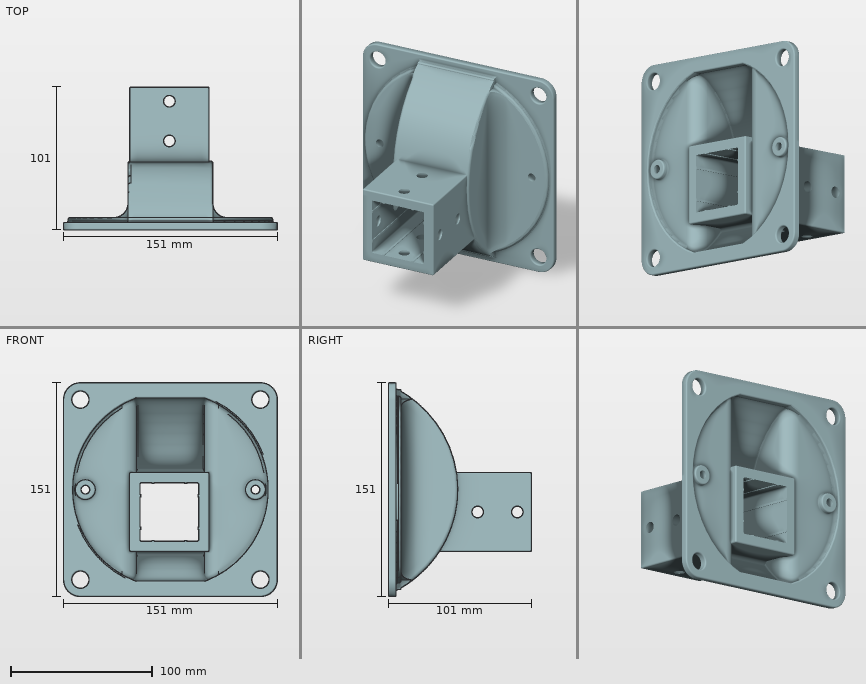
import cadquery as cq
import math

plate_size = 151.0
plate_thickness = 5.5
plate_corner_radius = 12.0
plate_edge_radius = 1.0
mount_hole_diameter = 12.0
mount_hole_offset = 63.5
mount_hole_edge_radius = 1.0

pad_radius = 72.5
pad_half_height = 70.6
pad_back = 9.0
pad_edge_radius = 2.0
pad_root_radius = 1.0
heel_edge_radius = 1.0

recess_radius = 69.0
recess_half_height = 64.6
recess_floor = 4.0
recess_edge_radius = 1.0
recess_floor_radius = 2.0

dome_radius = 80.0
dome_back = 49.0
dome_wall = 5.0
dome_half_width = 30.0
dome_edge_radius = 2.0
dome_axis_y = dome_back - dome_radius
cavity_radius = dome_radius - dome_wall
cavity_half_width = 24.0
cavity_edge_radius = 1.0
flare_radius = 10.0

tube_size = 56.0
tube_length = 101.0
tube_center_x = -0.75
tube_center_z = -15.75
tube_edge_radius = 1.0
roof_root_radius = 2.0
bore_size = 41.2
bore_corner_radius = 1.0
rib_height = 0.5
rib_width = 1.6
rib_offset = 11.5
pin_hole_diameter = 8.0
pin_hole_end_distances = (10.0, 38.0)

boss_offset = 60.0
boss_diameter = 14.0
boss_edge_radius = 1.0
boss_root_radius = 1.0
boss_hole_diameter = 6.0

pick_margin = 0.1
arc_middle = math.sqrt(0.5)


def front_plane(y=0.0):
    """Plane at depth y facing -Y: local axes are X and Z, negative extrusions go toward +Y."""
    return cq.Workplane("XZ", origin=(0, y, 0))


def clipped_disc(radius, half_height, y_start, y_end):
    """Round disc whose top and bottom are cut flat."""
    disc = front_plane(y_start).circle(radius).extrude(y_start - y_end)
    band = front_plane(y_start).rect(2 * radius, 2 * half_height).extrude(y_start - y_end)
    return disc.intersect(band)


def dome_cylinder(radius, half_width):
    """Rear half of a cylinder along X about the dome's axis."""
    return (
        cq.Workplane("YZ", origin=(-half_width, 0, 0))
        .moveTo(dome_axis_y, -radius)
        .threePointArc((dome_axis_y + radius, 0), (dome_axis_y, radius))
        .close()
        .extrude(2 * half_width)
    )


def flared_dome(half_width, foot_y, radius):
    """Slab that flares out at its foot, bounded by a cylinder along X."""
    top_y = dome_back + dome_radius
    foot_half_width = half_width + flare_radius
    bend_x = foot_half_width - flare_radius * arc_middle
    bend_y = foot_y + flare_radius * (1 - arc_middle)
    slab = (
        cq.Workplane("XY", origin=(0, 0, -dome_radius))
        .moveTo(-foot_half_width, 0)
        .lineTo(foot_half_width, 0)
        .lineTo(foot_half_width, foot_y)
        .threePointArc((bend_x, bend_y), (half_width, foot_y + flare_radius))
        .lineTo(half_width, top_y)
        .lineTo(-half_width, top_y)
        .lineTo(-half_width, foot_y + flare_radius)
        .threePointArc((-bend_x, bend_y), (-foot_half_width, foot_y))
        .close()
        .extrude(2 * dome_radius)
    )
    return slab.intersect(dome_cylinder(radius, foot_half_width))


def round_dome_rim(dome, foot_y, edge_radius):
    """Round the edges where the dome's cylinder meets its flared sides."""
    reach = 2 * dome_radius
    rim_box = cq.selectors.BoxSelector((-reach, foot_y, -reach), (reach, dome_back, reach))
    return dome.edges(rim_box).edges("not |Z").fillet(edge_radius)


def make_plate():
    """Plate with its raised pad and the heel that carries the ends of the dome."""
    plate = front_plane().rect(plate_size, plate_size).extrude(-plate_thickness)
    plate = plate.edges("|Y").fillet(plate_corner_radius)
    plate = plate.faces("<Y or >Y").edges().fillet(plate_edge_radius)

    pad_start = plate_thickness / 2
    pad = clipped_disc(pad_radius, pad_half_height, pad_start, pad_back)
    pad = pad.faces(">Y").edges().fillet(pad_edge_radius)
    heel = front_plane(pad_start).rect(2 * dome_half_width, 2 * pad_half_height).extrude(pad_start - pad_back)
    heel = heel.faces(">Y").edges("|X").fillet(heel_edge_radius)
    plate = plate.union(pad).union(heel)

    reach = pad_radius + pick_margin
    root_box = cq.selectors.BoxSelector(
        (-reach, plate_thickness - pick_margin, -reach),
        (reach, plate_thickness + pick_margin, reach),
        boundingbox=True,
    )
    return plate.edges(root_box).fillet(pad_root_radius)


def make_dome():
    """Outer dome, trimmed to stand on the pad and the heel."""
    dome = flared_dome(dome_half_width, pad_back, dome_radius)
    dome = round_dome_rim(dome, pad_back, dome_edge_radius)
    start = plate_thickness / 2
    footprint = front_plane(start).circle(pad_radius - pad_edge_radius).extrude(-dome_back)
    spine = front_plane(start).rect(2 * dome_half_width, 2 * dome_radius).extrude(-dome_back)
    return dome.intersect(footprint.union(spine))


def make_cavity():
    """Recess in the plate and the hollow inside the dome."""
    recess = clipped_disc(recess_radius, recess_half_height, 0, recess_floor)
    recess = recess.faces(">Y").edges("%CIRCLE").fillet(recess_floor_radius)
    hollow = flared_dome(cavity_half_width, recess_floor, cavity_radius)
    hollow = round_dome_rim(hollow, recess_floor, cavity_edge_radius)
    hollow = hollow.intersect(clipped_disc(recess_radius, recess_half_height, 0, dome_back))
    return recess.union(hollow)


def round_recess_mouth(housing):
    """Round the front edge of the recess."""
    reach = recess_radius + pick_margin
    mouth_box = cq.selectors.BoxSelector((-reach, -pick_margin, -reach), (reach, pick_margin, reach))
    return housing.faces("<Y").edges(mouth_box).fillet(recess_edge_radius)


def cut_mount_holes(housing):
    """Four corner holes with rounded edges on both faces."""
    sides = (-mount_hole_offset, mount_hole_offset)
    corners = [(x, z) for x in sides for z in sides]
    radius = mount_hole_diameter / 2
    holes = front_plane().pushPoints(corners).circle(radius).extrude(-plate_thickness)
    housing = housing.cut(holes)
    rims = [edge for edge in housing.edges("%CIRCLE").vals() if math.isclose(edge.radius(), radius)]
    return housing.newObject(rims).fillet(mount_hole_edge_radius)


def make_tube():
    tube = front_plane().center(tube_center_x, tube_center_z).rect(tube_size, tube_size).extrude(-tube_length)
    return tube.edges().fillet(tube_edge_radius)


def make_roof_root():
    """Fillet strips where the top and bottom of the tube meet the inside of the dome."""
    half_width = cavity_half_width + cavity_edge_radius / 2
    core = dome_cylinder(cavity_radius, half_width)
    block = front_plane().center(tube_center_x, tube_center_z).rect(tube_size, tube_size)
    sharp = core.cut(block.extrude(-tube_length))
    reach = tube_size / 2 + pick_margin
    near_tube = cq.selectors.BoxSelector(
        (-reach, recess_floor, tube_center_z - reach),
        (reach, dome_back, tube_center_z + reach),
        boundingbox=True,
    )
    return sharp.cut(sharp.edges(near_tube).edges("|X").fillet(roof_root_radius))


def make_bore():
    """Square bore of the tube, less two small ribs along each wall."""
    bore = front_plane().center(tube_center_x, tube_center_z).rect(bore_size, bore_size).extrude(-tube_length)
    bore = bore.edges("|Y").fillet(bore_corner_radius)
    rib_z = (bore_size - rib_height) / 2
    for angle in (0, 90, 180, 270):
        for offset in (-rib_offset, rib_offset):
            rib = cq.Workplane("XY").box(rib_width, tube_length, rib_height)
            rib = rib.translate((offset, tube_length / 2, rib_z))
            rib = rib.rotate((0, 0, 0), (0, 1, 0), angle)
            bore = bore.cut(rib.translate((tube_center_x, 0, tube_center_z)))
    return bore


def make_pin_holes():
    """Two pin holes through the tube in each cross direction."""
    depths = [tube_length - distance for distance in pin_hole_end_distances]
    radius = pin_hole_diameter / 2
    across = (
        cq.Workplane("YZ", origin=(tube_center_x, 0, 0))
        .pushPoints([(y, tube_center_z) for y in depths])
        .circle(radius)
        .extrude(tube_size, both=True)
    )
    upright = (
        cq.Workplane("XY", origin=(0, 0, tube_center_z))
        .pushPoints([(tube_center_x, y) for y in depths])
        .circle(radius)
        .extrude(tube_size, both=True)
    )
    return across.union(upright)


def make_boss(x):
    """Boss with a rounded front edge and a flared root."""
    radius = boss_diameter / 2
    edge_bend = boss_edge_radius * (1 - arc_middle)
    root_bend = boss_root_radius * (1 - arc_middle)
    profile = (
        cq.Workplane("XY")
        .lineTo(radius - boss_edge_radius, 0)
        .threePointArc((radius - edge_bend, edge_bend), (radius, boss_edge_radius))
        .lineTo(radius, recess_floor - boss_root_radius)
        .threePointArc(
            (radius + root_bend, recess_floor - root_bend),
            (radius + boss_root_radius, recess_floor),
        )
        .lineTo(0, recess_floor)
        .close()
    )
    return profile.revolve(360, (0, 0, 0), (0, 1, 0)).translate((x, 0, 0))


def add_bosses(housing):
    """One drilled boss on each side of the dome."""
    for x in (-boss_offset, boss_offset):
        housing = housing.union(make_boss(x))
        hole = front_plane().center(x, 0).circle(boss_hole_diameter / 2).extrude(-pad_back)
        housing = housing.cut(hole)
    return housing


housing = make_plate().union(make_dome()).cut(make_cavity())
housing = round_recess_mouth(housing)
housing = cut_mount_holes(housing)
housing = add_bosses(housing)
housing = housing.union(make_roof_root()).union(make_tube())
result = housing.cut(make_bore()).cut(make_pin_holes())